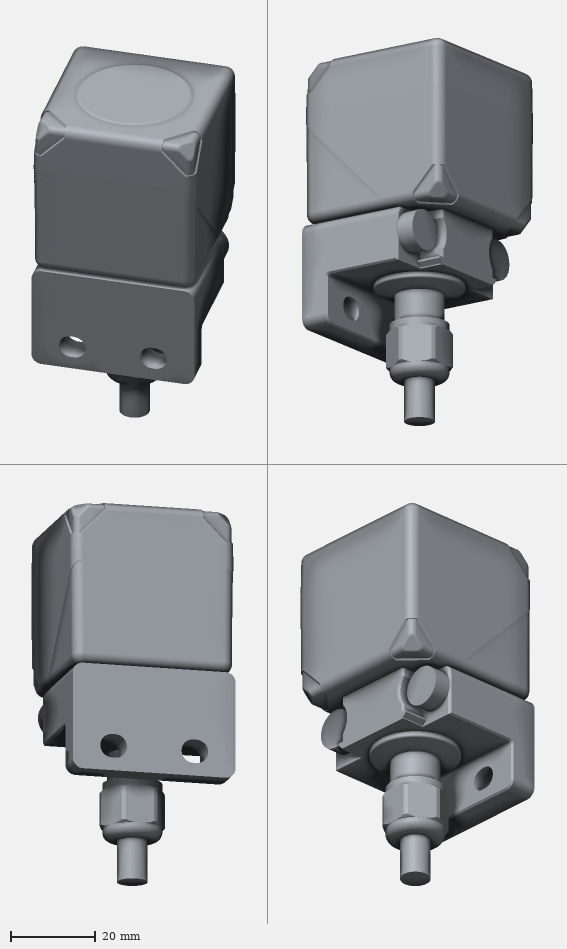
import cadquery as cq
import math

width = 40.1
half = width / 2
total_height = 88.2
select_margin = 0.1

head_bottom = 47.8
dome_height = 0.3
head_top = total_height - dome_height
parting_z = 75.7
draft_inset = 0.2
edge_radius = 2.5
sensing_base_radius = 14.0
sensing_top_radius = 13.2

corner_size = 10.6
corner_reach = 8.0
corner_depth = 0.4
corner_edge_radius = 1.6
corner_flat_size = 6.0
flat_rounding = 0.8
corner_tool_radius = 13.2
corner_tool_length = 17.6

side_recess = 0.2
side_line_top = 73.0

plate_bottom = 21.9
plate_thickness = 7.2
block_bottom = 34.0
block_depth = 27.7
bracket_corner_radius = 2.5
bracket_edge_chamfer = 0.5
step_chamfer = 0.4
inner_corner_radius = 0.7
hole_length = 6.5
hole_height = 5.7
hole_spacing = 20.0
hole_z = 27.9

screw_spacing = 30.0
screw_z = 41.9
screw_radius = 5.0
screw_length = 4.4
housing_half_width = 10.7
housing_depth = 6.4
housing_chamfer = 0.5
saddle_radius = 5.7
foot_height = 1.85
foot_overhang = 1.1
foot_chamfer = 1.3

flange_radius = 10.9
flange_rim_bottom = 32.5
flange_cone_bottom = 31.2
flange_rim_radius = 0.5
neck_radius = 6.0
collar_top = 24.0
hex_top = 22.0
hex_bottom = 13.0
hex_across_flats = 14.3
hex_corner_radius = 7.9
hex_end_chamfer = 0.5
cap_bottom = 10.05
cap_rounding = 2.1
cable_diameter = 7.3


def wall_prism(plane, first_end, second_end, first_draft, end_z):
    """Long prism between two opposite head walls, from the parting level to end_z."""
    return (
        cq.Workplane(plane)
        .polyline([(first_end, parting_z), (second_end, parting_z),
                   (second_end - draft_inset, end_z), (first_end + first_draft, end_z)])
        .close()
        .extrude(width, both=True)
    )


def head_half(half_x, half_y, end_z, front_draft, radius):
    """One half of the head, narrowing from the parting level to its rounded end."""
    across_x = wall_prism("XZ", -half_x, half_x, draft_inset, end_z)
    across_y = wall_prism("YZ", -half_y, half_y, front_draft, end_z)
    parting_side = "<Z" if end_z > parting_z else ">Z"
    return across_x.intersect(across_y).edges(f"not {parting_side}").fillet(radius)


def head_block(inset_x=0.0, inset_y=0.0, inset_z=0.0, radius=edge_radius):
    """Rounded head with drafted walls, shrunk by an inset along each axis."""
    half_x = half - inset_x
    half_y = half - inset_y
    upper = head_half(half_x, half_y, head_top - inset_z, draft_inset, radius)
    lower = head_half(half_x, half_y, head_bottom + inset_z, 0, radius)
    return upper.union(lower)


def corner_region(side_x, side_y, side_z, size):
    """Everything outside the plane that cuts 'size' off each edge at one head corner."""
    corner_z = head_top if side_z > 0 else head_bottom
    corner = cq.Vector(side_x * half, side_y * half, corner_z)
    outward = cq.Vector(side_x, side_y, side_z).normalized()
    origin = corner - outward * (size / math.sqrt(3))
    return (
        cq.Workplane(cq.Plane(origin=origin, normal=outward))
        .circle(corner_tool_radius)
        .extrude(corner_tool_length)
    )


def corner_cube(side_x, side_y, side_z):
    """Cube centred on a head corner that limits the reach of its recess."""
    corner_z = head_top if side_z > 0 else head_bottom
    side = 2 * corner_reach
    return cq.Workplane("XY", origin=(side_x * half, side_y * half, corner_z)).box(side, side, side)


def make_head():
    head = head_block()

    line_fall = side_line_top - head_bottom
    below_line = (
        cq.Workplane("YZ")
        .polyline([(-half, side_line_top), (-half, head_bottom), (line_fall - half, head_bottom)])
        .close()
        .extrude(width, both=True)
    )
    narrow_head = head_block(inset_x=side_recess)
    head = head.cut(below_line).union(narrow_head.intersect(below_line))

    small_head = head_block(corner_depth, corner_depth, corner_depth, corner_edge_radius)
    for side_x in (-1, 1):
        for side_y, side_z in ((-1, 1), (1, -1)):
            region = corner_region(side_x, side_y, side_z, corner_size)
            region = region.intersect(corner_cube(side_x, side_y, side_z))
            flat = corner_region(side_x, side_y, side_z, corner_flat_size)
            recessed = small_head.cut(flat)
            flat_edges = recessed.faces(cq.selectors.DirectionMinMaxSelector(
                cq.Vector(side_x, side_y, side_z))).edges()
            recessed = flat_edges.fillet(flat_rounding).intersect(region)
            head = head.cut(region).union(recessed)

    sensing_face = (
        cq.Workplane("XY", origin=(0, 0, head_top))
        .circle(sensing_base_radius)
        .workplane(offset=dome_height)
        .circle(sensing_top_radius)
        .loft()
    )
    return head.union(sensing_face)


def make_bracket():
    back_y = block_depth - half
    plate_back_y = plate_thickness - half
    bracket = (
        cq.Workplane("YZ")
        .polyline([(-half, plate_bottom), (plate_back_y, plate_bottom), (plate_back_y, block_bottom),
                   (back_y, block_bottom), (back_y, head_bottom), (-half, head_bottom)])
        .close()
        .extrude(half, both=True)
    )
    inner_corner = cq.selectors.NearestToPointSelector((0, plate_back_y, block_bottom))
    bracket = bracket.edges(inner_corner).fillet(inner_corner_radius)
    for z in (plate_bottom, head_bottom):
        long_edges = cq.selectors.BoxSelector(
            (-width, -width, z - select_margin), (width, width, z + select_margin))
        bracket = bracket.edges("|Y").edges(long_edges).fillet(bracket_corner_radius)
    bracket = bracket.faces(">Y").edges("|Z").chamfer(bracket_edge_chamfer)
    step_edges = cq.selectors.BoxSelector(
        (-width, plate_back_y - select_margin, plate_bottom), (width, back_y, block_bottom + select_margin))
    bracket = bracket.faces("<X or >X").edges(step_edges).chamfer(step_chamfer)
    holes = (
        cq.Workplane("XZ", origin=(0, 0, hole_z))
        .pushPoints([(-hole_spacing / 2, 0), (hole_spacing / 2, 0)])
        .slot2D(hole_length, hole_height)
        .extrude(width, both=True)
    )
    return bracket.cut(holes)


def rear_cylinders(radius, length):
    """Pair of cylinders on the screw axes, standing on the back of the bracket."""
    return (
        cq.Workplane("XZ", origin=(0, block_depth - half, screw_z))
        .pushPoints([(-screw_spacing / 2, 0), (screw_spacing / 2, 0)])
        .circle(radius)
        .extrude(-length)
    )


def make_rear_housing():
    def rear_box(half_width, height):
        return cq.Workplane("XY").box(
            2 * half_width, housing_depth, height, centered=(True, False, False)
        ).translate((0, block_depth - half, block_bottom))

    housing = rear_box(housing_half_width, head_bottom - block_bottom)
    housing = housing.cut(rear_cylinders(saddle_radius, housing_depth))
    housing = housing.faces(">Y").edges("not |X").chamfer(housing_chamfer)
    foot = rear_box(housing_half_width + foot_overhang, foot_height)
    foot = foot.faces("<Z").edges("|Y").chamfer(foot_chamfer)
    return housing.union(foot).union(rear_cylinders(screw_radius, screw_length))


def make_gland():
    def round_bar(radius, low, high):
        return cq.Workplane("XY", origin=(0, 0, low)).circle(radius).extrude(high - low)

    flange = round_bar(flange_radius, flange_rim_bottom, block_bottom)
    flange = flange.faces("<Z").edges().fillet(flange_rim_radius)
    cone = (
        cq.Workplane("XY", origin=(0, 0, flange_rim_bottom))
        .circle(flange_radius - flange_rim_radius)
        .workplane(offset=flange_cone_bottom - flange_rim_bottom)
        .circle(neck_radius)
        .loft()
    )
    neck = round_bar(neck_radius, collar_top, flange_cone_bottom)
    collar = round_bar(hex_across_flats / 2, hex_top, collar_top)

    trim = round_bar(hex_corner_radius, hex_bottom, hex_top)
    trim = trim.faces("<Z or >Z").edges().chamfer(hex_end_chamfer)
    hexagon = (
        cq.Workplane("XY", origin=(0, 0, hex_bottom))
        .transformed(rotate=(0, 0, 90))
        .polygon(6, hex_across_flats, circumscribed=True)
        .extrude(hex_top - hex_bottom)
        .intersect(trim)
    )
    cap = round_bar(hex_across_flats / 2, cap_bottom, hex_bottom)
    cap = cap.faces("<Z").edges().fillet(cap_rounding)
    cable = round_bar(cable_diameter / 2, 0, cap_bottom)
    gland = flange
    for piece in (cone, neck, collar, hexagon, cap, cable):
        gland = gland.union(piece)
    return gland


result = make_head().union(make_bracket()).union(make_rear_housing()).union(make_gland())